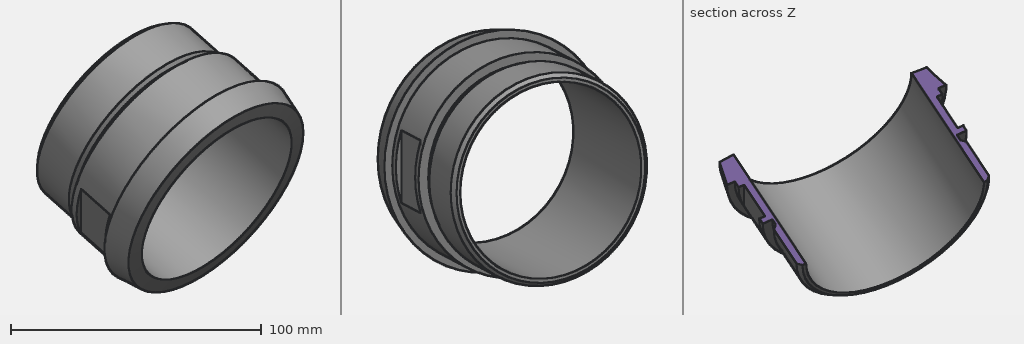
import cadquery as cq

length = 60.0
bore_diameter = 81.0
spigot_diameter = 87.9
groove_diameter = 84.4
body_diameter = 93.0
flange_diameter = 100.0

spigot_chamfer = (spigot_diameter - groove_diameter) / 2
groove_start = 22.3
body_start = 25.0
flange_start = 48.2

flange_end_diameter = 94.6
end_bevel_length = 0.5

flat_start = 28.0
flat_length = 17.0
across_flats = 88.0


def ring_body():
    """Revolve the stepped wall section about the X axis."""
    spigot_radius = spigot_diameter / 2
    groove_radius = groove_diameter / 2
    body_radius = body_diameter / 2
    section = [
        (0, bore_diameter / 2),
        (0, groove_radius),
        (spigot_chamfer, spigot_radius),
        (groove_start - spigot_chamfer, spigot_radius),
        (groove_start, groove_radius),
        (body_start, groove_radius),
        (body_start, body_radius),
        (flange_start, body_radius),
        (flange_start, flange_diameter / 2),
        (length - end_bevel_length, flange_end_diameter / 2),
        (length, bore_diameter / 2),
    ]
    return cq.Workplane("XY").polyline(section).close().revolve(360, (0, 0, 0), (1, 0, 0))


def flat_cutter(side):
    """Block that removes the body outside one flat; side is -1 or 1 along Y."""
    depth = (body_diameter - across_flats) / 2
    middle_x = flat_start + flat_length / 2
    middle_y = side * (across_flats + depth) / 2
    return cq.Workplane("XY").box(flat_length, depth, body_diameter).translate((middle_x, middle_y, 0))


result = ring_body()
for side in (-1, 1):
    result = result.cut(flat_cutter(side))